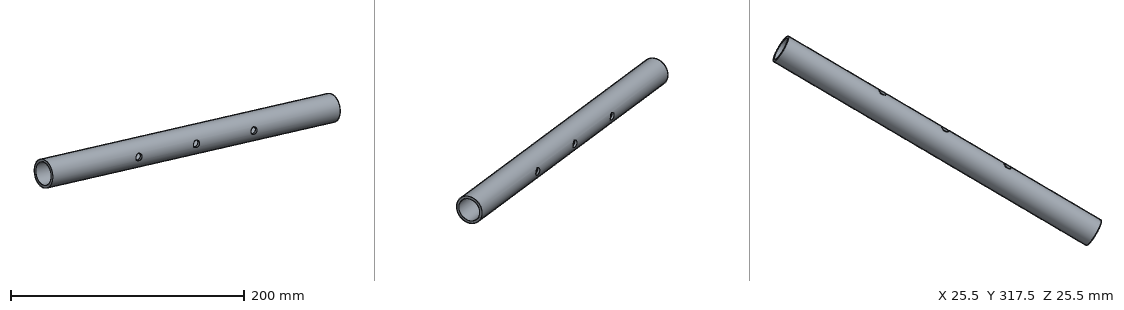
import cadquery as cq

length = 317.5
outer_diameter = 25.5
bore_diameter = 20.5

hole_diameter = 6.7
hole_count = 3
hole_spacing = length / 5


def make_tube():
    """Round tube along Y, centred on the origin."""
    profile = cq.Workplane("XZ").circle(outer_diameter / 2).circle(bore_diameter / 2)
    return profile.extrude(length / 2, both=True)


def make_cross_holes():
    """Row of pins along X, evenly spaced about the middle of the tube."""
    row = cq.Workplane("YZ").rarray(hole_spacing, 3.2, hole_count, 1)
    return row.circle(hole_diameter / 2).extrude(outer_diameter, both=True)


result = make_tube().cut(make_cross_holes())